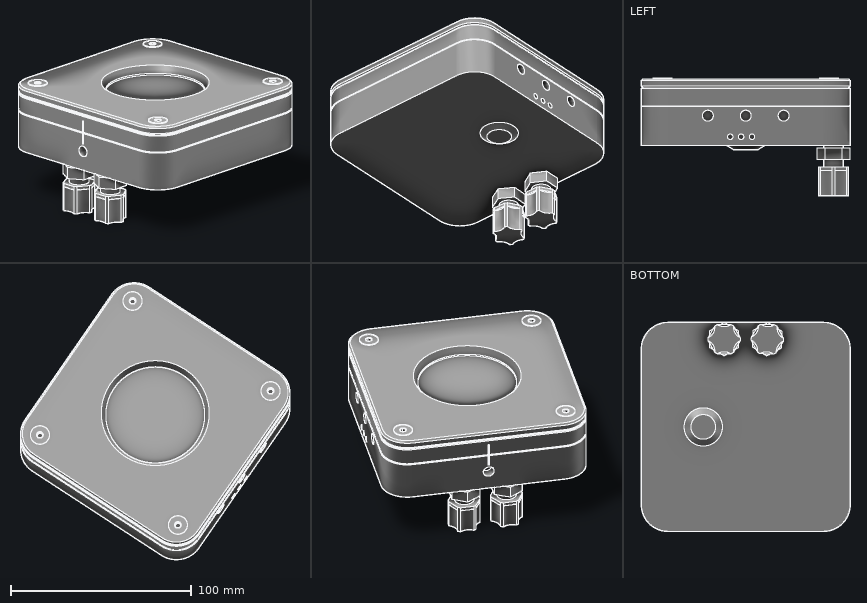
import cadquery as cq
import math

hexagon_sides = 6

side = 116.0
corner_radius = 15.0
base_height = 22.0
middle_top = 32.0
lid_top = 37.0
seam_chamfer = 0.5

lid_bottom_chamfer = 1.0
lid_top_chamfer = 1.0
window_top_diameter = 59.9
window_diameter = 54.9
window_land = 0.9

screw_offset = 46.0
screw_places = [(sx * screw_offset, sy * screw_offset) for sx in (-1, 1) for sy in (-1, 1)]
head_diameter = 10.5
head_rise = 0.5
head_height = 4.0
socket_across_flats = 3.0
socket_rim_diameter = 3.7
socket_rim_depth = 0.3
socket_depth = 3.0

groove_width = 1.0
groove_depth = 0.5
groove_length = 13.3

port_diameter = 6.0
port_depth = 5.8
front_port_z = 11.0
side_port_z = 16.6
side_port_pitch = 21.0
pin_hole_diameter = 3.0
pin_hole_depth = 5.8
pin_hole_pitch = 6.0
pin_hole_center_y = 2.5
pin_hole_z = 4.9

boss_x = -23.5
boss_diameter = 21.2
boss_tip_diameter = 13.7
boss_height = 2.3

gland_x = 12.0
gland_y = -48.6
gland_turns = (0.0, 2.0)
neck_diameter = 11.0
nut_across_flats = 16.0
nut_start = 1.3
nut_end = 7.8
cap_start = 11.8
cap_end = 27.8
collar_height = 2.0
cap_radius = 8.9
rib_count = 6
rib_width = 1.7
flute_depth = 1.2


def plate(bottom, top):
    """Rounded-square plate between two heights."""
    return (
        cq.Workplane("XY", origin=(0, 0, bottom))
        .rect(side, side)
        .extrude(top - bottom)
        .edges("|Z")
        .fillet(corner_radius)
    )


def disc(diameter, bottom, top, x=0.0, y=0.0):
    """Upright cylinder between two heights."""
    return cq.Workplane("XY", origin=(x, y, bottom)).circle(diameter / 2).extrude(top - bottom)


def cone(bottom_diameter, bottom, top_diameter, top, x=0.0, y=0.0):
    """Upright cone frustum between two heights."""
    return (
        cq.Workplane("XY", origin=(x, y, bottom))
        .circle(bottom_diameter / 2)
        .workplane(offset=top - bottom)
        .circle(top_diameter / 2)
        .loft()
    )


def hexagon(across_flats, bottom, top, x=0.0, y=0.0):
    """Upright hexagonal prism between two heights, with two flats facing -X and +X."""
    return (
        cq.Workplane("XY", origin=(x, y, bottom))
        .polygon(hexagon_sides, across_flats, circumscribed=True)
        .extrude(top - bottom)
    )


def alignment_groove():
    """V-groove cutter with flat ends, centred on the seam between base and middle."""
    front = -side / 2
    return (
        cq.Workplane("XY", origin=(0, 0, base_height - groove_length / 2))
        .moveTo(-groove_width / 2, front)
        .lineTo(groove_width / 2, front)
        .lineTo(0, front + groove_depth)
        .close()
        .extrude(groove_length)
    )


def side_hole(diameter, depth, y, z):
    """Blind-hole cutter entering from the -X side."""
    return cq.Workplane("YZ", origin=(-side / 2, y, z)).circle(diameter / 2).extrude(depth)


def make_base():
    """Bottom plate with the boss, the blind holes and its half of the groove."""
    base = plate(0, base_height).faces(">Z").chamfer(seam_chamfer)
    base = base.union(cone(boss_tip_diameter, -boss_height, boss_diameter, 0, boss_x))
    front_port = (
        cq.Workplane("XZ", origin=(0, -side / 2, front_port_z))
        .circle(port_diameter / 2)
        .extrude(-port_depth)
    )
    base = base.cut(front_port).cut(alignment_groove())
    for step in (-1, 0, 1):
        pin_hole_y = pin_hole_center_y + step * pin_hole_pitch
        base = base.cut(side_hole(port_diameter, port_depth, step * side_port_pitch, side_port_z))
        base = base.cut(side_hole(pin_hole_diameter, pin_hole_depth, pin_hole_y, pin_hole_z))
    return base


def make_middle():
    """Middle plate with its half of the groove; its top is the floor of the lid window."""
    middle = plate(base_height, middle_top).faces(">Z").chamfer(seam_chamfer)
    return middle.cut(alignment_groove())


def make_lid():
    """Chamfered top plate with a tapered round window and screw-head recesses."""
    lid = plate(middle_top, lid_top)
    lid = lid.faces("<Z").chamfer(lid_bottom_chamfer)
    lid = lid.faces(">Z").chamfer(lid_top_chamfer)
    land_top = middle_top + window_land
    lid = lid.cut(disc(window_diameter, middle_top, land_top))
    lid = lid.cut(cone(window_diameter, land_top, window_top_diameter, lid_top))
    head_bottom = lid_top + head_rise - head_height
    for x, y in screw_places:
        lid = lid.cut(disc(head_diameter, head_bottom, lid_top, x, y))
    return lid


def make_screw(x, y):
    """Flat screw head with a hexagon socket and a tapered socket rim."""
    head_top = lid_top + head_rise
    socket = hexagon(socket_across_flats, head_top - socket_depth, head_top, x, y)
    rim = cone(socket_across_flats, head_top - socket_rim_depth, socket_rim_diameter, head_top, x, y)
    return disc(head_diameter, head_top - head_height, head_top, x, y).cut(socket).cut(rim)


def polar(radius, angle):
    """Point at a distance from the axis and an angle in degrees."""
    return radius * math.cos(math.radians(angle)), radius * math.sin(math.radians(angle))


def cap_outline(work, fluted):
    """Ribbed cap outline: arcs over the ribs, joined by flats or by hollow flutes."""
    pitch = 360 / rib_count
    rib_half_angle = math.degrees(math.asin(rib_width / 2 / cap_radius))
    flat_radius = cap_radius * math.cos(math.radians(pitch / 2 - rib_half_angle))
    work = work.moveTo(*polar(cap_radius, -rib_half_angle))
    for index in range(rib_count):
        angle = index * pitch
        rib_end = polar(cap_radius, angle + rib_half_angle)
        next_rib = polar(cap_radius, angle + pitch - rib_half_angle)
        work = work.threePointArc(polar(cap_radius, angle), rib_end)
        if fluted:
            work = work.threePointArc(polar(flat_radius - flute_depth, angle + pitch / 2), next_rib)
        else:
            work = work.lineTo(*next_rib)
    return work.close()


def make_gland(x, turn):
    """Cable gland: neck, hexagon nut and ribbed cap, turned about its own axis."""
    gland = disc(neck_diameter, -cap_start, 0)
    nut = hexagon(nut_across_flats, -nut_end, -nut_start)
    collar_bottom = -cap_start - collar_height
    collar = cq.Workplane("XY", origin=(0, 0, collar_bottom))
    collar = cap_outline(collar, fluted=False).extrude(collar_height)
    grip = cq.Workplane("XY", origin=(0, 0, -cap_end))
    grip = cap_outline(grip, fluted=True).extrude(cap_end + collar_bottom)
    gland = gland.union(nut).union(collar).union(grip)
    return gland.rotate((0, 0, 0), (0, 0, 1), turn).translate((x, gland_y, 0))


base = make_base()
middle = make_middle()
lid = make_lid()
screws = [make_screw(x, y) for x, y in screw_places]
glands = [make_gland(x, turn) for x, turn in zip((-gland_x, gland_x), gland_turns)]

result = cq.Compound.makeCompound(
    [base.val(), middle.val(), lid.val()]
    + [screw.val() for screw in screws]
    + [gland.val() for gland in glands]
)